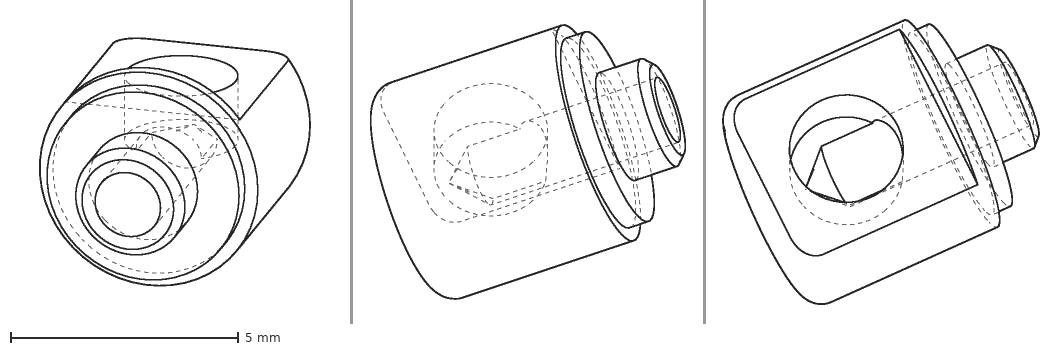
import cadquery as cq

BODY_DIAMETER = 5.0
BODY_LENGTH = 4.55
BACK_FILLET = 0.5
SHOULDER_DIAMETER = 4.4
SHOULDER_LENGTH = 0.45
STEM_DIAMETER = 2.5
STEM_LENGTH = 1.2
STEM_CHAMFER = 0.2
FLAT_HEIGHT = 1.5
RIM_THICKNESS = 0.3
CROSS_HOLE_DIAMETER = 2.5
CROSS_HOLE_FROM_BACK = 2.0
CROSS_HOLE_FLOOR = 0.0
BORE_DIAMETER = 1.5
BORE_TIP_FROM_BACK = 1.0

body_radius = BODY_DIAMETER / 2
bore_radius = BORE_DIAMETER / 2
shoulder_start = STEM_LENGTH
body_start = shoulder_start + SHOULDER_LENGTH
flat_start = body_start + RIM_THICKNESS
back_end = body_start + BODY_LENGTH
cross_hole_y = back_end - CROSS_HOLE_FROM_BACK
bore_tip = back_end - BORE_TIP_FROM_BACK
bore_cone_start = bore_tip - bore_radius


def cylinder_along_y(diameter, start, length):
    """Cylinder on the turning axis, running from start toward +Y."""
    return cq.Workplane("XZ", origin=(0, start, 0)).circle(diameter / 2).extrude(-length)


def turned_blank():
    """Body with a rounded back edge, shoulder and chamfered stem."""
    body = cylinder_along_y(BODY_DIAMETER, body_start, BODY_LENGTH)
    body = body.faces(">Y").edges().fillet(BACK_FILLET)
    shoulder = cylinder_along_y(SHOULDER_DIAMETER, shoulder_start, SHOULDER_LENGTH)
    stem = cylinder_along_y(STEM_DIAMETER, 0, STEM_LENGTH)
    stem = stem.faces("<Y").edges().chamfer(STEM_CHAMFER)
    return body.union(shoulder).union(stem)


def flat_cutter():
    """Block that removes the top of the body behind the rim."""
    return cq.Workplane("XY").box(
        BODY_DIAMETER,
        back_end - flat_start,
        body_radius - FLAT_HEIGHT,
        centered=(True, False, False),
    ).translate((0, flat_start, FLAT_HEIGHT))


def cross_hole_cutter():
    """Flat-bottomed hole sunk from the flat down to the turning axis."""
    return (
        cq.Workplane("XY", origin=(0, cross_hole_y, CROSS_HOLE_FLOOR))
        .circle(CROSS_HOLE_DIAMETER / 2)
        .extrude(FLAT_HEIGHT - CROSS_HOLE_FLOOR)
    )


def bore_cutter():
    """Blind axial bore from the stem end, closed by a conical drill point."""
    return (
        cq.Workplane("XY")
        .moveTo(0, 0)
        .lineTo(bore_radius, 0)
        .lineTo(bore_radius, bore_cone_start)
        .lineTo(0, bore_tip)
        .close()
        .revolve(360, (0, 0, 0), (0, 1, 0))
    )


result = turned_blank().cut(flat_cutter()).cut(cross_hole_cutter()).cut(bore_cutter())